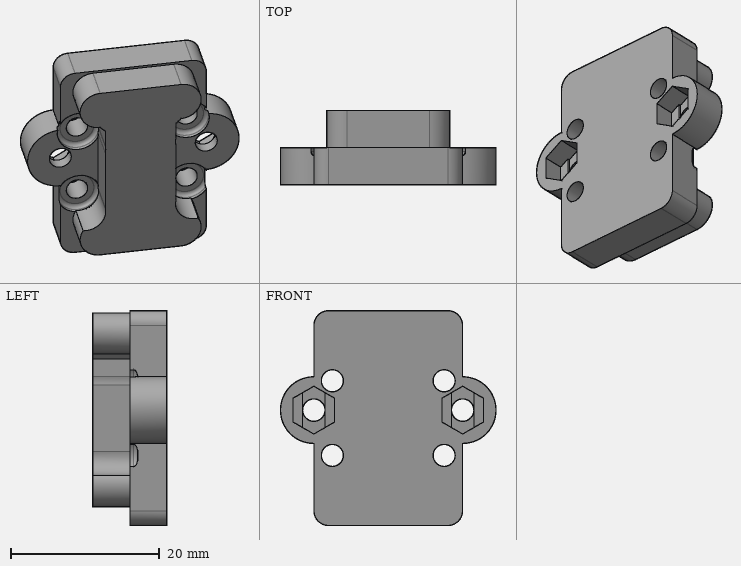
import cadquery as cq

plate_width = 20.0
plate_height = 28.9
plate_thickness = 5.002
plate_corner_radius = 2.0

ear_radius = 4.5
ear_x = plate_width / 2
ear_z = 1.07
ear_hole_diameter = 3.0
nut_across_flats = 5.57
nut_pocket_depth = 3.0
nut_slot_depth = 0.3

block_thickness = 5.002
bar_length = 16.6
bar_radius = 2.75
upper_bar_z = 11.4
lower_bar_z = -9.15
web_width = 9.7
web_flare = bar_length / 2 - bar_radius - web_width / 2

screw_hole_diameter = 2.93
screw_x = 7.5
screw_z = 5.02
head_recess_radius = 2.9
head_recess_depth = 1.1
head_recess_fillet = 0.58
head_clearance_radius = 2.73

back_y = plate_thickness
total_depth = plate_thickness + block_thickness
screw_points = [(sx * screw_x, sz * screw_z) for sx in (-1, 1) for sz in (-1, 1)]
ear_points = [(-ear_x, ear_z), (ear_x, ear_z)]


def xz_plane(y):
    """Sketch plane at the given y: local x is +X, local y is +Z, negative extrusions go toward +Y."""
    return cq.Workplane(cq.Plane(origin=(0, y, 0), xDir=(1, 0, 0), normal=(0, -1, 0)))


def cylinders(points, radius, y_start, y_end):
    return xz_plane(y_start).pushPoints(points).circle(radius).extrude(y_start - y_end)


def make_plate():
    plate = xz_plane(0).rect(plate_width, plate_height).extrude(-plate_thickness)
    plate = plate.edges("|Y").fillet(plate_corner_radius)
    return plate.union(cylinders(ear_points, ear_radius, 0, plate_thickness))


def make_bar(z):
    return xz_plane(back_y).center(0, z).slot2D(bar_length, 2 * bar_radius).extrude(-block_thickness)


def make_web():
    """Web between the bars, flaring at 45 degrees under the upper bar.

    Its foot widens square at the lower screw centers, where the head clearance removes the step.
    """
    half_width = web_width / 2
    top = upper_bar_z - bar_radius
    flared = half_width + web_flare
    outline = [
        (0, upper_bar_z),
        (flared, upper_bar_z),
        (flared, top),
        (half_width, top - web_flare),
        (half_width, -screw_z),
        (flared, -screw_z),
        (flared, lower_bar_z),
        (0, lower_bar_z),
    ]
    mirrored = [(-x, z) for x, z in reversed(outline[1:-1])]
    return xz_plane(back_y).polyline(outline + mirrored).close().extrude(-block_thickness)


def make_block():
    block = make_bar(upper_bar_z).union(make_bar(lower_bar_z)).union(make_web())
    return block.cut(cylinders(screw_points, head_clearance_radius, back_y, total_depth))


def make_head_recesses():
    """Round-bottomed pockets for the screw heads, sunk from the back of the plate."""
    recesses = cylinders(screw_points, head_recess_radius, back_y - head_recess_depth, back_y)
    return recesses.faces("<Y").edges().fillet(head_recess_fillet)


def make_hexagons(depth):
    """Hexagons with points up, running from the front face to the given depth."""
    outline = xz_plane(0).pushPoints(ear_points).polygon(6, nut_across_flats, circumscribed=True)
    return outline.extrude(-depth)


def make_nut_pockets():
    """Hexagonal pockets, each with a shallow slot as wide as the hole crossing its floor."""
    slot_floor = nut_pocket_depth + nut_slot_depth
    strips = xz_plane(0).pushPoints(ear_points).rect(ear_hole_diameter, plate_height).extrude(-slot_floor)
    slots = make_hexagons(slot_floor).intersect(strips)
    return make_hexagons(nut_pocket_depth).union(slots)


result = make_plate().cut(make_head_recesses()).union(make_block())
result = result.cut(cylinders(screw_points, screw_hole_diameter / 2, 0, total_depth))
result = result.cut(cylinders(ear_points, ear_hole_diameter / 2, 0, plate_thickness))
result = result.cut(make_nut_pockets())